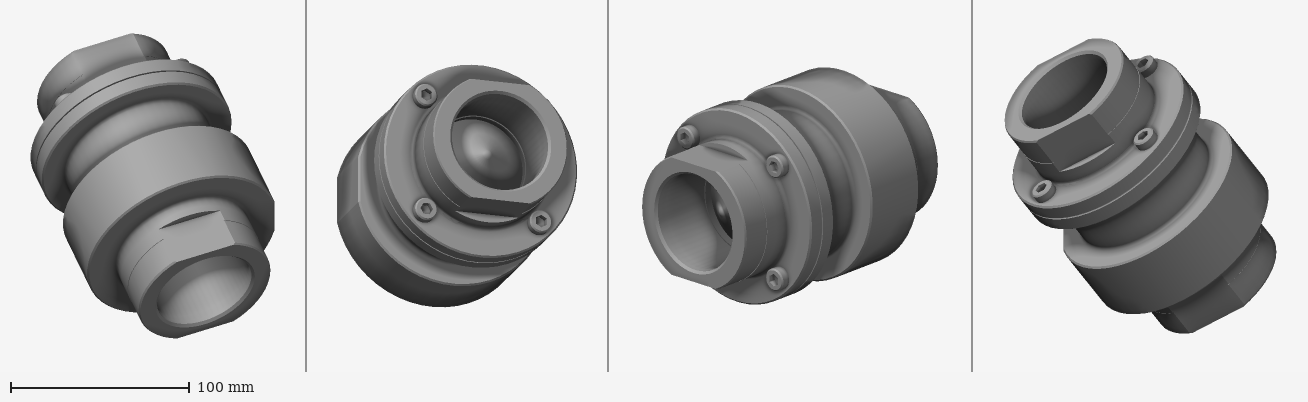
import cadquery as cq
import math

LENGTH = 160.0

END_RADIUS = 39.5
END_LENGTH = 17.5
END_CHAMFER_LENGTH = 1.1
END_CHAMFER_DEPTH = 0.6
GROOVE_RADIUS = 39.4
GROOVE_WIDTH = 0.5
SHOULDER_RADIUS = 39.7
FLAT_HALF_WIDTH = 35.0
FLAT_LENGTH = 25.1
BORE_RADIUS = 28.3
BORE_MOUTH_RADIUS = 29.8
BORE_MOUTH_DEPTH = BORE_MOUTH_RADIUS - BORE_RADIUS

RIM_RADIUS = 57.0
RIM_CHAMFER = 1.0
FILLET = 2.0
FLANGE_START = 35.2
FLANGE_THICKNESS = 9.1
RAISED_FACE = 0.5
NECK_RADIUS = 43.2
COLLAR_START = 85.5
COLLAR_END = 125.0
COLLAR_FLAT_Y = 55.4

INLET_END = FLANGE_START + FLANGE_THICKNESS + RAISED_FACE
BODY_FLANGE_START = INLET_END + RAISED_FACE
BODY_FLANGE_END = BODY_FLANGE_START + FLANGE_THICKNESS

SEAT_RADIUS = 27.7
SEAT_LENGTH = 4.8
CONE_HALF_ANGLE = 50.0
CONE_TIP_RADIUS = 4.0
CONE_RIM_RADIUS = 30.4
CONE_RIM_LENGTH = 4.8

SCREW_OFFSET = 33.8
SCREW_RADIUS = 4.0
SCREW_REACH = 7.2
SCREW_END = BODY_FLANGE_START + SCREW_REACH
HEAD_RADIUS = 6.5
HEAD_HEIGHT = 5.5
HEAD_CHAMFER = 0.8
SOCKET_ACROSS_FLATS = 6.4
SOCKET_CORNER_RADIUS = SOCKET_ACROSS_FLATS / math.sqrt(3)
SOCKET_DEPTH = 4.0
SOCKET_POINT_DEPTH = 2.0
SCREW_COUNT = 4


def disc(radius, start, end):
    """Cylinder about the valve axis between two X positions."""
    return cq.Workplane("YZ", origin=(start, 0, 0)).circle(radius).extrude(end - start)


def revolve(points):
    """Solid of revolution about the valve axis from (x, radius) points."""
    return cq.Workplane("XY").polyline(points).close().revolve(360, (0, 0, 0), (1, 0, 0))


def end_stub(length):
    """Solid end from the origin to `length`, before the wrench flats and the bore are cut."""
    return revolve([
        (0, 0),
        (0, END_RADIUS - END_CHAMFER_DEPTH),
        (END_CHAMFER_LENGTH, END_RADIUS),
        (END_LENGTH, END_RADIUS),
        (END_LENGTH, GROOVE_RADIUS),
        (END_LENGTH + GROOVE_WIDTH, GROOVE_RADIUS),
        (END_LENGTH + GROOVE_WIDTH, SHOULDER_RADIUS),
        (length, SHOULDER_RADIUS),
        (length, 0),
    ])


def root_fillet(radius, x, direction):
    """Concave ring that blends a cylinder into the flange face at x, reaching along `direction`."""
    reach = direction * FILLET
    blend = FILLET * (1 - math.sqrt(0.5))
    return (
        cq.Workplane("XY")
        .moveTo(x, radius - FILLET)
        .lineTo(x, radius + FILLET)
        .threePointArc((x + direction * blend, radius + blend), (x + reach, radius))
        .lineTo(x + reach, radius - FILLET)
        .close()
        .revolve(360, (0, 0, 0), (1, 0, 0))
    )


def wrench_flats():
    """Two blocks that cut the flats above and below the first stretch of an end."""
    height = RIM_RADIUS - FLAT_HALF_WIDTH
    block = cq.Workplane("XY").box(FLAT_LENGTH, 2 * RIM_RADIUS, height, centered=(False, True, False))
    upper = block.translate((0, 0, FLAT_HALF_WIDTH))
    return upper.union(upper.mirror("XY"))


def bore(length):
    """Bore cutter of the given length, with a wider conical mouth at the origin."""
    return revolve([
        (0, 0),
        (0, BORE_MOUTH_RADIUS),
        (BORE_MOUTH_DEPTH, BORE_RADIUS),
        (length, BORE_RADIUS),
        (length, 0),
    ])


def at_outlet(shape):
    """Turn an inlet-end shape round so that it starts from the outlet end face."""
    return shape.mirror("YZ").translate((LENGTH, 0, 0))


def screw_spaces():
    """Cutter for the blind shank holes and for the head seats, which just clip the inlet fillet."""
    corners = [(y, z) for y in (-SCREW_OFFSET, SCREW_OFFSET) for z in (-SCREW_OFFSET, SCREW_OFFSET)]
    flange_face = cq.Workplane("YZ", origin=(FLANGE_START, 0, 0)).pushPoints(corners)
    shanks = flange_face.circle(SCREW_RADIUS).extrude(SCREW_END - FLANGE_START)
    heads = flange_face.circle(HEAD_RADIUS).extrude(-HEAD_HEIGHT)
    return shanks.union(heads)


def rim_flange(start, outer_side):
    """Flange disc chamfered only on the side away from the joint."""
    flange = disc(RIM_RADIUS, start, start + FLANGE_THICKNESS)
    return flange.faces(outer_side).edges().chamfer(RIM_CHAMFER)


def make_inlet():
    """Inlet end with its flange, the raised joint face and the narrower seat bore."""
    inlet = end_stub(FLANGE_START).cut(wrench_flats())
    inlet = inlet.union(root_fillet(SHOULDER_RADIUS, FLANGE_START, -1))
    inlet = inlet.union(rim_flange(FLANGE_START, "<X"))
    inlet = inlet.union(disc(NECK_RADIUS, FLANGE_START, INLET_END))
    inlet = inlet.cut(bore(INLET_END - SEAT_LENGTH)).cut(disc(SEAT_RADIUS, 0, INLET_END))
    return inlet.cut(screw_spaces())


def collar():
    """Large ring with one flat side, chamfered at both ends."""
    side = (
        cq.Workplane("XY", origin=(0, COLLAR_FLAT_Y, 0))
        .box(LENGTH, RIM_RADIUS, 2 * RIM_RADIUS, centered=(False, False, True))
    )
    return disc(RIM_RADIUS, COLLAR_START, COLLAR_END).cut(side).faces("<X or >X").edges().chamfer(RIM_CHAMFER)


def make_body():
    """Flange, neck, collar and outlet end; the neck ends in the raised face that meets the inlet."""
    body = collar()
    body = body.union(disc(NECK_RADIUS, INLET_END, COLLAR_START))
    body = body.union(rim_flange(BODY_FLANGE_START, ">X"))
    body = body.union(root_fillet(NECK_RADIUS, BODY_FLANGE_END, 1))
    body = body.union(root_fillet(NECK_RADIUS, COLLAR_START, -1))
    body = body.union(at_outlet(end_stub(LENGTH - COLLAR_END).cut(wrench_flats())))
    body = body.union(root_fillet(SHOULDER_RADIUS, COLLAR_END, 1))
    body = body.cut(at_outlet(bore(LENGTH - INLET_END)))
    body = body.cut(disc(CONE_RIM_RADIUS, INLET_END, INLET_END + CONE_RIM_LENGTH))
    return body.cut(screw_spaces())


def make_cone():
    """Closing cone with a ball-shaped tip; its rim lies in the body recess behind the seat."""
    slope = math.radians(CONE_HALF_ANGLE)
    apex = INLET_END - SEAT_RADIUS / math.tan(slope)
    centre = apex + CONE_TIP_RADIUS / math.sin(slope)
    tangent = (centre - CONE_TIP_RADIUS * math.sin(slope), CONE_TIP_RADIUS * math.cos(slope))
    half = (math.pi / 2 - slope) / 2
    arc_middle = (centre - CONE_TIP_RADIUS * math.cos(half), CONE_TIP_RADIUS * math.sin(half))
    return (
        cq.Workplane("XY")
        .moveTo(centre - CONE_TIP_RADIUS, 0)
        .threePointArc(arc_middle, tangent)
        .lineTo(INLET_END, SEAT_RADIUS)
        .lineTo(INLET_END, CONE_RIM_RADIUS)
        .lineTo(INLET_END + CONE_RIM_LENGTH, CONE_RIM_RADIUS)
        .lineTo(INLET_END + CONE_RIM_LENGTH, 0)
        .close()
        .revolve(360, (0, 0, 0), (1, 0, 0))
    )


def hex_socket(head_top):
    """Cutter for a hexagon socket with a drill point at the bottom."""
    flat_radius = SOCKET_ACROSS_FLATS / 2
    bottom = head_top + SOCKET_DEPTH
    hexagon = (
        cq.Workplane("YZ", origin=(head_top, 0, 0))
        .polygon(6, 2 * SOCKET_CORNER_RADIUS)
        .extrude(SOCKET_DEPTH)
    )
    drill_point = revolve([
        (head_top, 0),
        (head_top, flat_radius),
        (bottom, flat_radius),
        (bottom + SOCKET_POINT_DEPTH, 0),
    ])
    return hexagon.union(drill_point)


def make_screw():
    """Socket head screw in the first hole, its head standing on the inlet flange."""
    head_top = FLANGE_START - HEAD_HEIGHT
    blank = revolve([
        (head_top, 0),
        (head_top, HEAD_RADIUS - HEAD_CHAMFER),
        (head_top + HEAD_CHAMFER, HEAD_RADIUS),
        (FLANGE_START, HEAD_RADIUS),
        (FLANGE_START, SCREW_RADIUS),
        (SCREW_END, SCREW_RADIUS),
        (SCREW_END, 0),
    ])
    screw = blank.cut(hex_socket(head_top))
    return screw.translate((0, -SCREW_OFFSET, SCREW_OFFSET))


inlet = make_inlet()
body = make_body()
cone = make_cone()
screws = [
    make_screw().rotate((0, 0, 0), (1, 0, 0), 360 / SCREW_COUNT * turn)
    for turn in range(SCREW_COUNT)
]

result = cq.Compound.makeCompound([
    inlet.val(),
    body.val(),
    cone.val(),
    *[screw.val() for screw in screws],
])